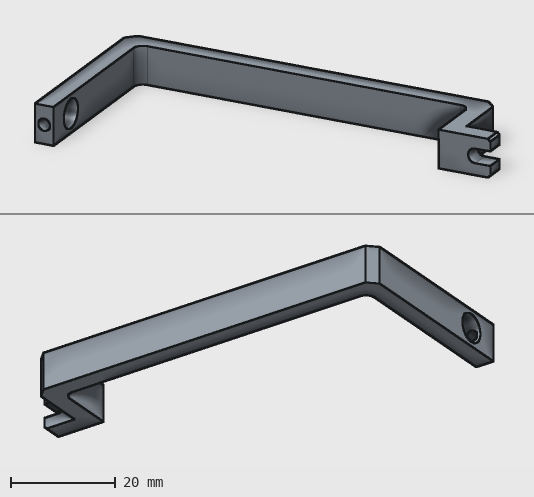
import cadquery as cq

length = 86.0
depth = 40.0
height = 8.0

bar_thickness = height / 2
frame_width = 78.95
short_leg_depth = 17.2
outer_chamfer = 2.0
inner_fillet = 2.0

tip_chamfer = 0.5
slot_width = 3.0
slot_length = 4.7

cross_hole_diameter = 6.0
cross_hole_from_end = 7.4
end_hole_diameter = 2.5

back_inner_y = depth - bar_thickness
short_leg_end_y = depth - short_leg_depth
short_leg_inner_x = frame_width - bar_thickness


def block(x_min, x_max, y_min, y_max):
    """Full-height rectangular block."""
    return (
        cq.Workplane("XY")
        .box(x_max - x_min, y_max - y_min, height, centered=(False, False, True))
        .translate((x_min, y_min, 0))
    )


def make_frame():
    """U-shaped bar with unequal legs, chamfered outside and rounded inside."""
    outer = block(0, frame_width, 0, depth).edges("|Z and >Y").chamfer(outer_chamfer)
    opening = block(bar_thickness, short_leg_inner_x, -depth, back_inner_y)
    opening = opening.edges("|Z and >Y").fillet(inner_fillet)
    beyond_short_leg = block(bar_thickness, frame_width, 0, short_leg_end_y)
    return outer.cut(opening).cut(beyond_short_leg)


def make_lug():
    """Lug at the end of the short leg, with chamfered tip corners and an open slot."""
    lug = block(frame_width, length, short_leg_end_y, short_leg_end_y + bar_thickness)
    lug = lug.edges("|Y and >X").chamfer(tip_chamfer)
    slot = (
        cq.Workplane("XZ")
        .center(length, 0)
        .slot2D(2 * slot_length, slot_width)
        .extrude(-depth)
    )
    return lug.cut(slot)


cross_hole = (
    cq.Workplane("YZ")
    .center(cross_hole_from_end, 0)
    .circle(cross_hole_diameter / 2)
    .extrude(bar_thickness)
)

end_hole = (
    cq.Workplane("XZ")
    .center(bar_thickness / 2, 0)
    .circle(end_hole_diameter / 2)
    .extrude(-cross_hole_from_end)
)

result = make_frame().union(make_lug()).cut(cross_hole).cut(end_hole)